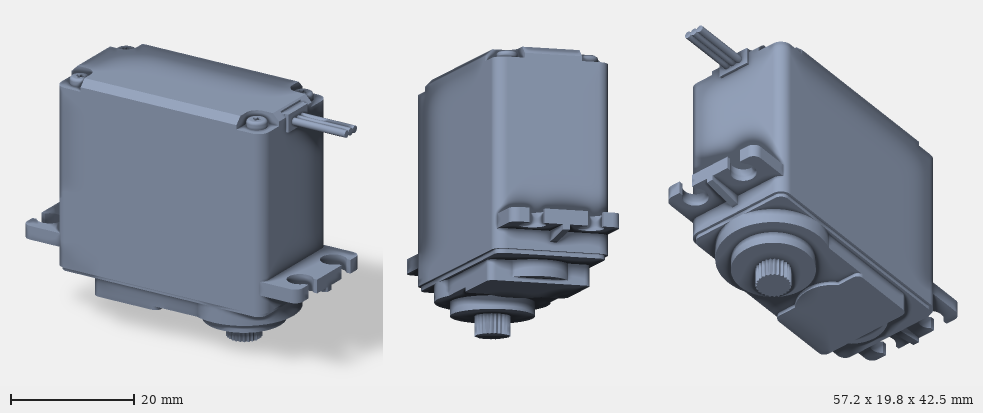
import cadquery as cq
import math


OVERALL_LENGTH = 57.22

CASE_LENGTH = 40.0
CASE_WIDTH = 19.82
CASE_HEIGHT = 34.25
CORNER_RADIUS = 2.0
TOP_CHAMFER = 1.2
LIP_HEIGHT = 0.7
LIP_INSET = 0.48

SCREW_X = 17.0
SCREW_Y = 6.9
POCKET_RADIUS = 2.0
POCKET_DEPTH = 2.0
HEAD_DIAMETER = 3.45
HEAD_HEIGHT = 1.3
HEAD_FILLET = 0.5
CROSS_LENGTH = 1.4
CROSS_WIDTH = 0.5
CROSS_DEPTH = 0.5

FLANGE_SPAN = 53.1
FLANGE_WIDTH = 18.9
FLANGE_THICKNESS = 2.4
FLANGE_TOP_Z = CASE_HEIGHT - 27.87
FLANGE_CORNER_RADIUS = 1.5
MOUNT_HOLE_DIAMETER = 4.35
MOUNT_HOLE_X = 24.1
MOUNT_HOLE_Y = 5.0
MOUNT_SLOT_WIDTH = 2.65
RIB_WIDTH = 1.2
RIB_TIP_DEPTH = 0.85
RIB_ROOT_DEPTH = 1.85

SHAFT_X = 10.18
COVER_DEPTH = 2.75
COVER_RADIUS = 9.45
STEP_DEPTH = 3.45
STEP_WIDTH = 17.56
STEP_LEFT_X = -13.42
STEP_RIGHT_X = -0.9
STEP_FILLET = 1.1
LEFT_BULGE_TIP_X = -15.72
RIGHT_BULGE_TIP_X = 1.1
BULGE_RADIUS = 6.1
BOSS_RADIUS = 6.9
BOSS_BOTTOM_DEPTH = 5.0
SPLINE_BOTTOM_DEPTH = 8.27
SPLINE_TEETH = 25
SPLINE_OUTER_RADIUS = 2.95
SPLINE_ROOT_RADIUS = 2.65

GROMMET_SLOT_X = 19.05
COLLAR_END_X = 19.7
COLLAR_WIDTH = 6.04
GROMMET_END_X = 20.5
GROMMET_WIDTH = 5.7
GROMMET_TOP_Z = CASE_HEIGHT - 0.6
GROMMET_BOTTOM_Z = CASE_HEIGHT - 3.75
WIRE_COUNT = 3
WIRE_DIAMETER = 1.26
WIRE_PITCH = 1.22
WIRE_Z = CASE_HEIGHT - 2.3
CABLE_END_X = OVERALL_LENGTH - FLANGE_SPAN / 2


def block(x_min, x_max, width, z_min, z_max):
    """Box between two X and two Z limits, centred on Y."""
    box = cq.Workplane("XY").box(x_max - x_min, width, z_max - z_min, centered=(False, True, False))
    return box.translate((x_min, 0, z_min))


def cylinder(x, y, radius, z_min, z_max):
    """Upright cylinder between two Z limits."""
    return cq.Workplane("XY", origin=(x, y, z_min)).circle(radius).extrude(z_max - z_min)


def make_case():
    half_length = CASE_LENGTH / 2
    shell = block(-half_length, half_length, CASE_WIDTH, LIP_HEIGHT, CASE_HEIGHT)
    shell = shell.edges("|Z").fillet(CORNER_RADIUS).faces(">Z").chamfer(TOP_CHAMFER)
    lip_half_length = half_length - LIP_INSET
    lip = block(-lip_half_length, lip_half_length, CASE_WIDTH - 2 * LIP_INSET, 0, LIP_HEIGHT)
    lip = lip.edges("|Z").fillet(CORNER_RADIUS - LIP_INSET)
    return shell.union(lip)


def make_corner_pocket(side_x, side_y):
    """Cutter open to both outer sides, rounded about the screw at its inner corner."""
    inner_x = SCREW_X - POCKET_RADIUS
    inner_y = SCREW_Y - POCKET_RADIUS
    return (
        cq.Workplane("XY", origin=(0, 0, CASE_HEIGHT - POCKET_DEPTH))
        .moveTo(side_x * inner_x, side_y * CASE_WIDTH)
        .lineTo(side_x * inner_x, side_y * SCREW_Y)
        .radiusArc((side_x * SCREW_X, side_y * inner_y), -side_x * side_y * POCKET_RADIUS)
        .lineTo(side_x * CASE_LENGTH, side_y * inner_y)
        .lineTo(side_x * CASE_LENGTH, side_y * CASE_WIDTH)
        .close()
        .extrude(POCKET_DEPTH)
    )


def make_screw_head(x, y):
    """Round-edged screw head with a cross recess, standing on the pocket floor."""
    floor_z = CASE_HEIGHT - POCKET_DEPTH
    top_z = floor_z + HEAD_HEIGHT
    head = cylinder(x, y, HEAD_DIAMETER / 2, floor_z, top_z).faces(">Z").edges().fillet(HEAD_FILLET)
    recess_plane = cq.Workplane("XY", origin=(x, y, top_z))
    slot_along_x = recess_plane.rect(CROSS_LENGTH, CROSS_WIDTH).extrude(-CROSS_DEPTH)
    slot_along_y = recess_plane.rect(CROSS_WIDTH, CROSS_LENGTH).extrude(-CROSS_DEPTH)
    return head.cut(slot_along_x).cut(slot_along_y)


def make_flange_plate():
    """One plate through the case, with open-ended mounting holes at both ends."""
    half_span = FLANGE_SPAN / 2
    bottom_z = FLANGE_TOP_Z - FLANGE_THICKNESS
    plate = block(-half_span, half_span, FLANGE_WIDTH, bottom_z, FLANGE_TOP_Z)
    plate = plate.edges("|Z").fillet(FLANGE_CORNER_RADIUS)
    for side_x in (-1, 1):
        for side_y in (-1, 1):
            x = side_x * MOUNT_HOLE_X
            y = side_y * MOUNT_HOLE_Y
            plate = plate.cut(cylinder(x, y, MOUNT_HOLE_DIAMETER / 2, bottom_z, FLANGE_TOP_Z))
            inner_x, outer_x = sorted((x, side_x * half_span))
            slot = block(inner_x, outer_x, MOUNT_SLOT_WIDTH, bottom_z, FLANGE_TOP_Z)
            plate = plate.cut(slot.translate((0, y, 0)))
    return plate


def make_flange_rib(side_x):
    """Tapered rib under one flange, deepest at the case wall."""
    top_z = FLANGE_TOP_Z - FLANGE_THICKNESS
    wall_x = side_x * CASE_LENGTH / 2
    tip_x = side_x * FLANGE_SPAN / 2
    return (
        cq.Workplane("XZ")
        .moveTo(0, top_z)
        .lineTo(tip_x, top_z)
        .lineTo(tip_x, top_z - RIB_TIP_DEPTH)
        .lineTo(wall_x, top_z - RIB_ROOT_DEPTH)
        .lineTo(0, top_z - RIB_ROOT_DEPTH)
        .close()
        .extrude(RIB_WIDTH / 2, both=True)
    )


def make_gear_cover():
    """Cover plate around the shaft, a deeper step beside it, and a round bulge at each step end."""
    cover = block(STEP_LEFT_X, SHAFT_X, STEP_WIDTH, -COVER_DEPTH, 0).edges("|Z and <X").fillet(STEP_FILLET)
    cover = cover.union(cylinder(SHAFT_X, 0, COVER_RADIUS, -COVER_DEPTH, 0))
    left_bulge = cylinder(LEFT_BULGE_TIP_X + BULGE_RADIUS, 0, BULGE_RADIUS, -COVER_DEPTH, 0)
    right_bulge = cylinder(RIGHT_BULGE_TIP_X - BULGE_RADIUS, 0, BULGE_RADIUS, -STEP_DEPTH, 0)
    step = block(STEP_LEFT_X, STEP_RIGHT_X, STEP_WIDTH, -STEP_DEPTH, 0).edges("|Z").fillet(STEP_FILLET)
    return cover.union(step).union(left_bulge).union(right_bulge)


def make_output_shaft():
    """Round boss carrying a spline with straight-sided pointed teeth."""
    boss = cylinder(SHAFT_X, 0, BOSS_RADIUS, -BOSS_BOTTOM_DEPTH, 0)
    outline = []
    for i in range(2 * SPLINE_TEETH):
        radius = SPLINE_OUTER_RADIUS if i % 2 == 0 else SPLINE_ROOT_RADIUS
        angle = math.pi * i / SPLINE_TEETH
        outline.append((radius * math.cos(angle), radius * math.sin(angle)))
    spline_plane = cq.Workplane("XY", origin=(SHAFT_X, 0, -SPLINE_BOTTOM_DEPTH))
    return boss.union(spline_plane.polyline(outline).close().extrude(SPLINE_BOTTOM_DEPTH))


def make_grommet():
    """Wide collar seated in the case wall and a narrower plate outside it."""
    collar = block(GROMMET_SLOT_X, COLLAR_END_X, COLLAR_WIDTH, GROMMET_BOTTOM_Z, GROMMET_TOP_Z)
    plate = block(GROMMET_SLOT_X, GROMMET_END_X, GROMMET_WIDTH, GROMMET_BOTTOM_Z, GROMMET_TOP_Z)
    return collar.union(plate)


def make_grommet_slot():
    """Notch in the top edge of the end wall, above the collar."""
    return block(GROMMET_SLOT_X, COLLAR_END_X, COLLAR_WIDTH, GROMMET_TOP_Z, CASE_HEIGHT)


def make_wire(index):
    """One wire of the flat cable; neighbours overlap slightly so the cable is one body."""
    y = (index - (WIRE_COUNT - 1) / 2) * WIRE_PITCH
    wire_plane = cq.Workplane("YZ", origin=(COLLAR_END_X, y, WIRE_Z))
    return wire_plane.circle(WIRE_DIAMETER / 2).extrude(CABLE_END_X - COLLAR_END_X)


servo = make_case().cut(make_grommet_slot())
for side_x in (-1, 1):
    servo = servo.union(make_flange_rib(side_x))
    for side_y in (-1, 1):
        servo = servo.cut(make_corner_pocket(side_x, side_y))
        servo = servo.union(make_screw_head(side_x * SCREW_X, side_y * SCREW_Y))
servo = servo.union(make_flange_plate())
servo = servo.union(make_gear_cover()).union(make_output_shaft())
servo = servo.union(make_grommet())
for wire_index in range(WIRE_COUNT):
    servo = servo.union(make_wire(wire_index))

result = servo